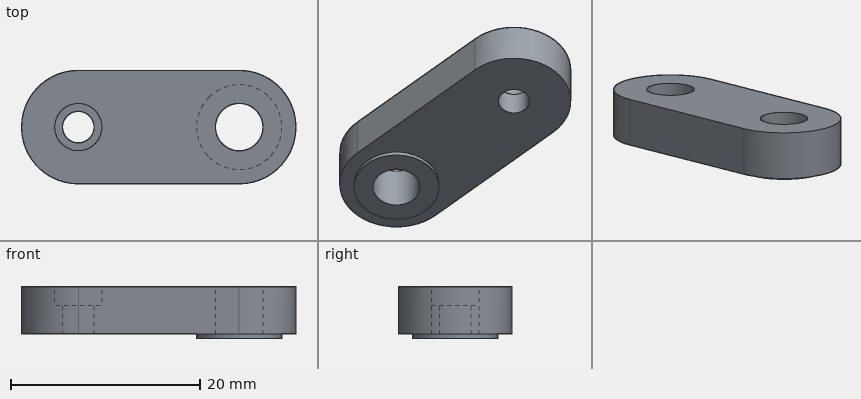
import cadquery as cq

length = 29.0
width = 12.0
thickness = 5.0
boss_height = 0.5
boss_diameter = 9.0
bore_diameter = 5.0
screw_diameter = 3.3
counterbore_diameter = bore_diameter
counterbore_depth = 2.0

end_offset = (length - width) / 2

plate = cq.Workplane("XY").slot2D(length, width).extrude(thickness)

boss = cq.Workplane("XY").center(end_offset, 0).circle(boss_diameter / 2).extrude(-boss_height)
link = plate.union(boss)

link = link.faces(">Z").workplane(origin=(end_offset, 0, 0)).hole(bore_diameter)

result = (
    link.faces(">Z")
    .workplane(origin=(-end_offset, 0, 0))
    .cboreHole(screw_diameter, counterbore_diameter, counterbore_depth)
)